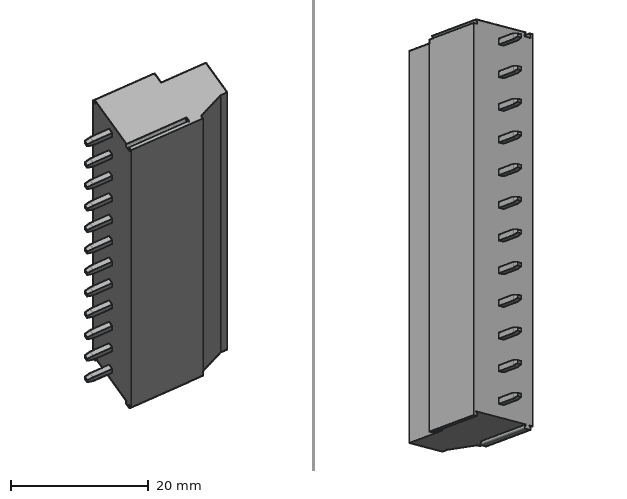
import cadquery as cq

total_length = 60.65
tongue_height = 0.65
pole_count = 12
body_length = total_length - tongue_height
pitch = body_length / pole_count

body_width = 11.2
total_depth = 21.6
pin_length = 4.1
body_depth = total_depth - pin_length
shelf_depth = 10.0
shelf_width = 2.4
back_edge_x = 8.75
back_wall_depth = 1.1
slope_end_x = 10.7
slope_end_depth = 12.0

edge_rail_neck = 0.5
rail_flare = 0.3
rail_crest_radius = 0.1
inner_rail_neck = 0.7
inner_rail_center_x = 10.25

pin_size = 0.9
pin_tip_width = 0.7
pin_tip_height = 0.5
pin_tip_length = 0.9
pin_center_x = 5.2


def make_body():
    """Prism with a step on the -X side and a sloping face on the +X side."""
    outline = [
        (0, 0),
        (body_width, 0),
        (body_width, slope_end_depth),
        (slope_end_x, slope_end_depth),
        (back_edge_x, body_depth - back_wall_depth),
        (back_edge_x, body_depth),
        (shelf_width, body_depth),
        (shelf_width, shelf_depth),
        (0, shelf_depth),
    ]
    return cq.Workplane("XY").polyline(outline).close().extrude(body_length)


def make_rails(neck_z):
    """Both dovetail rails, narrow at neck_z and flaring out towards -Z to rounded crest edges."""
    crest_z = neck_z - tongue_height
    edge_rail = [
        (0, neck_z),
        (edge_rail_neck, neck_z),
        (edge_rail_neck + rail_flare, crest_z),
        (0, crest_z),
    ]
    neck_half = inner_rail_neck / 2
    crest_half = neck_half + rail_flare
    inner_rail = [
        (inner_rail_center_x - neck_half, neck_z),
        (inner_rail_center_x + neck_half, neck_z),
        (inner_rail_center_x + crest_half, crest_z),
        (inner_rail_center_x - crest_half, crest_z),
    ]
    profiles = cq.Workplane("XZ").polyline(edge_rail).close().polyline(inner_rail).close()
    rails = profiles.extrude(-shelf_depth)
    flank_edges = rails.faces("<Z").edges("|Y").filter(lambda edge: edge.Center().x > edge_rail_neck)
    return flank_edges.fillet(rail_crest_radius)


def make_pin(center_z):
    """Square pin with a tapered tip."""
    shank_length = pin_length - pin_tip_length
    base = cq.Workplane("XZ").center(pin_center_x, center_z)
    shank = base.rect(pin_size, pin_size).extrude(shank_length)
    tip = (
        base.workplane(offset=shank_length)
        .rect(pin_size, pin_size)
        .workplane(offset=pin_tip_length)
        .rect(pin_tip_width, pin_tip_height)
        .loft(ruled=True)
    )
    return shank.union(tip)


result = make_body().cut(make_rails(body_length)).union(make_rails(0))

for pole in range(pole_count):
    result = result.union(make_pin((pole + 0.5) * pitch))